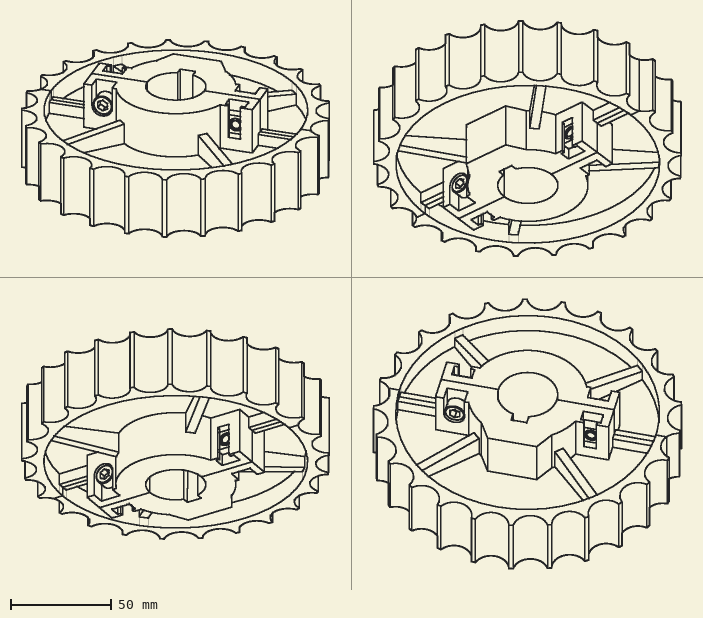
import cadquery as cq
import math


overall_width = 154.0
tooth_count = 25
rim_height = 32.0
rim_inner_radius = 65.9
root_radius = 70.0
half_tip_angle = 0.8

tooth_pitch = 360.0 / tooth_count
tip_radius = overall_width / 2 / math.cos(math.radians(tooth_pitch / 4 - half_tip_angle))
corner_angle = math.radians(tooth_pitch / 2 - half_tip_angle)
corner_offset = tip_radius * math.sin(corner_angle)
corner_rise = tip_radius * math.cos(corner_angle) - root_radius
groove_radius = (corner_offset**2 + corner_rise**2) / (2 * corner_rise)

web_thickness = 10.0
rib_width = 4.8
split_rib_width = 6.5
rib_hub_height = rim_height
rib_rim_height = 22.2
rib_overlap = 0.8

hub_height = 58.5
hub_radius = 30.0
lug_length = 88.9
lug_half_length = lug_length / 2
lug_width = 24.2
lug_half_width = lug_width / 2
key_block_top = 33.4
key_block_half_width = 12.6
key_block_side_angle = 60.0

bore_radius = 30.0 / 2
keyway_width = 8.0
keyway_top_depth = 18.6
keyway_bottom_depth = 18.0

screw_spacing = 69.8
screw_x = screw_spacing / 2
screw_z = 18.2
screw_radius = 6.0 / 2
screw_tip_radius = 2.2
head_radius = 10.0 / 2
head_height = 6.0
head_chamfer = 0.39
socket_width = 5.1
socket_depth = 4.0
head_slot_radius = 10.6 / 2
head_seat_y = 5.1

nut_width = 10.0
nut_countersink = 0.5
nut_thickness = 5.1
nut_seat_y = 4.6
nut_pocket_width = 10.3
nut_pocket_depth = 5.7
nut_pocket_floor = 6.5
nut_slot_width = 6.5

screw_length = head_seat_y + nut_seat_y + nut_thickness


def toothed_rim():
    groove_center = root_radius + groove_radius
    disc = cq.Workplane("XY").circle(tip_radius).extrude(rim_height / 2, both=True)
    grooves = (
        cq.Workplane("XY")
        .polarArray(groove_center, 90, 360, tooth_count)
        .circle(groove_radius)
        .extrude(rim_height / 2, both=True)
    )
    opening = cq.Workplane("XY").circle(rim_inner_radius).extrude(rim_height / 2, both=True)
    return disc.cut(grooves).cut(opening)


def web():
    return cq.Workplane("XY").circle(rim_inner_radius).extrude(web_thickness / 2, both=True)


def rib(angle, width, inner_radius, inner_height):
    """A rib whose two edges run in a straight line from its inner height at the hub to the rim.

    Above and below its outer end the rim is flat, on the chord between the two sides of the rib.
    """
    outer_radius = math.sqrt(rim_inner_radius**2 - (width / 2) ** 2)
    outline = [
        (0, inner_height / 2),
        (inner_radius, inner_height / 2),
        (outer_radius, rib_rim_height / 2),
        (outer_radius, rim_height / 2),
        (rim_inner_radius + rib_overlap, rim_height / 2),
    ]
    flat_rib = (
        cq.Workplane("XZ")
        .polyline(outline + [(radius, -z) for radius, z in reversed(outline)])
        .close()
        .extrude(width / 2, both=True)
    )
    return flat_rib.rotate((0, 0, 0), (0, 0, 1), angle)


def hub():
    barrel = cq.Workplane("XY").circle(hub_radius).extrude(hub_height / 2, both=True)
    lugs = cq.Workplane("XY").box(lug_length, lug_width, hub_height)
    side_run = (key_block_top - lug_half_width) / math.tan(math.radians(key_block_side_angle))
    base_half_width = key_block_half_width + side_run
    key_block = (
        cq.Workplane("XY")
        .moveTo(-base_half_width, lug_half_width)
        .lineTo(-key_block_half_width, key_block_top)
        .lineTo(key_block_half_width, key_block_top)
        .lineTo(base_half_width, lug_half_width)
        .close()
        .extrude(hub_height / 2, both=True)
    )
    return barrel.union(lugs).union(key_block)


def shaft_opening():
    bore = cq.Workplane("XY").circle(bore_radius).extrude(hub_height / 2, both=True)
    half_height = hub_height / 2
    keyway = (
        cq.Workplane("YZ")
        .moveTo(0, -half_height)
        .lineTo(keyway_bottom_depth, -half_height)
        .lineTo(keyway_top_depth, half_height)
        .lineTo(0, half_height)
        .close()
        .extrude(keyway_width / 2, both=True)
    )
    return bore.union(keyway)


def block(x_size, y_start, y_end, z_start, z_end):
    """A box centred on x = 0 that spans the given y and z ranges."""
    return (
        cq.Workplane("XY", origin=(0, (y_start + y_end) / 2, (z_start + z_end) / 2))
        .box(x_size, y_end - y_start, z_end - z_start)
    )


def rod(radius, y_start, y_end):
    """A cylinder along the Y axis."""
    return cq.Workplane("XZ", origin=(0, y_start, 0)).circle(radius).extrude(y_start - y_end)



def screw_recess():
    hub_end = hub_height / 2 - screw_z
    hole = rod(screw_radius, -lug_half_width, lug_half_width)
    head_slot = rod(head_slot_radius, -lug_half_width, -head_seat_y).union(
        block(2 * head_slot_radius, -lug_half_width, -head_seat_y, 0, hub_end)
    )
    nut_pocket = block(
        nut_pocket_width, nut_seat_y, nut_seat_y + nut_pocket_depth, -nut_pocket_floor, hub_end
    )
    nut_slot = block(nut_slot_width, nut_seat_y, lug_half_width, -nut_pocket_floor, hub_end)
    return hole.union(head_slot).union(nut_pocket).union(nut_slot)


def screw():
    head_top = -head_seat_y - head_height
    tip_y = screw_length - head_seat_y
    head = rod(head_radius, head_top, -head_seat_y).faces("<Y").chamfer(head_chamfer)
    socket = (
        cq.Workplane("XZ", origin=(0, head_top, 0))
        .polygon(6, socket_width, circumscribed=True)
        .extrude(-socket_depth)
    )
    shank = rod(screw_radius, -head_seat_y, tip_y).faces(">Y").chamfer(screw_radius - screw_tip_radius)
    return head.cut(socket).union(shank)


def nut():
    body = block(nut_width, nut_seat_y, nut_seat_y + nut_thickness, -nut_width / 2, nut_width / 2)
    drilled = body.cut(rod(screw_radius, nut_seat_y, nut_seat_y + nut_thickness))
    return drilled.faces(">Y").edges("%CIRCLE").chamfer(nut_countersink)


def at_clamp(shape, from_back, upside_down):
    """Move a shape from the Y axis to one of the four clamp screws."""
    if upside_down:
        shape = shape.mirror("XY")
    height = -screw_z if upside_down else screw_z
    placed = shape.translate((-screw_x, 0, height))
    if from_back:
        placed = placed.rotate((0, 0, 0), (0, 0, 1), 180)
    return placed


clamps = [(from_back, upside_down) for from_back in (False, True) for upside_down in (False, True)]


def whole_sprocket():
    body = toothed_rim().union(web()).union(hub())
    for angle in (45, 135, 225, 315):
        body = body.union(rib(angle, rib_width, hub_radius, rib_hub_height))
    for angle in (0, 180):
        body = body.union(rib(angle, split_rib_width, lug_half_length, rib_rim_height))
    body = body.cut(shaft_opening())
    for from_back, upside_down in clamps:
        body = body.cut(at_clamp(screw_recess(), from_back, upside_down))
    return body


def sprocket_half(sprocket, side):
    """The part of the sprocket with y of the given sign (+1 or -1)."""
    reach = 2 * tip_radius
    half_space = cq.Workplane("XY", origin=(0, side * reach / 2, 0)).box(2 * reach, reach, reach)
    return sprocket.intersect(half_space)


sprocket = whole_sprocket()
keyed_half = sprocket_half(sprocket, 1)
plain_half = sprocket_half(sprocket, -1)
screws = [at_clamp(screw(), *clamp).val() for clamp in clamps]
nuts = [at_clamp(nut(), *clamp).val() for clamp in clamps]

result = cq.Compound.makeCompound([keyed_half.val(), plain_half.val(), *screws, *nuts])